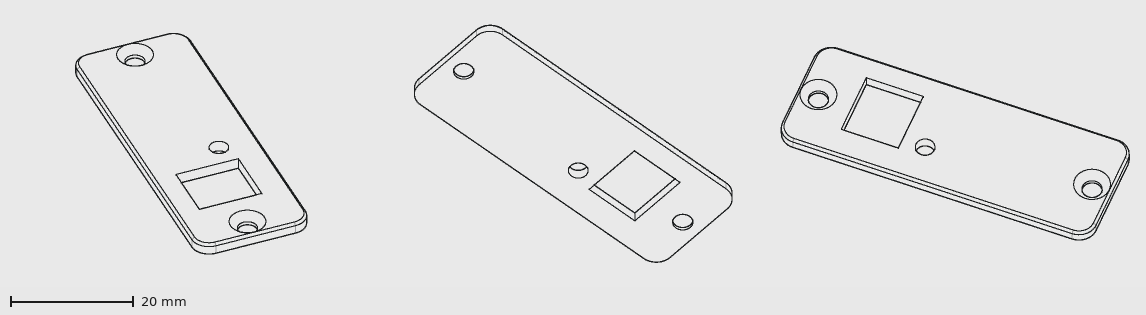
import cadquery as cq

length = 55.0
width = 20.0
thickness = 2.0
corner_radius = 3.0
top_chamfer = 0.45

screw_offset = 24.0
screw_diameter = 3.3
countersink_diameter = 6.0
countersink_angle = 90.0

small_hole_diameter = 3.2
small_hole_x = 4.0
small_hole_y = 3.225

window_length = 10.0
window_width = 11.0
window_x = 13.0
window_y = -0.5


def make_plate():
    """Rounded plate standing on Z = 0, chamfered around its top edge."""
    plate = cq.Workplane("XY").box(length, width, thickness, centered=(True, True, False))
    plate = plate.edges("|Z").fillet(corner_radius)
    return plate.faces(">Z").edges().chamfer(top_chamfer)


def top_plane(part):
    """Workplane on the top face, with its origin on the plate's centre."""
    return part.faces(">Z").workplane(origin=(0, 0, thickness))


def cut_screw_holes(part):
    centres = [(-screw_offset, 0), (screw_offset, 0)]
    return top_plane(part).pushPoints(centres).cskHole(
        screw_diameter, countersink_diameter, countersink_angle
    )


def cut_small_hole(part):
    return top_plane(part).center(small_hole_x, small_hole_y).hole(small_hole_diameter)


def cut_window(part):
    return top_plane(part).center(window_x, window_y).rect(window_length, window_width).cutThruAll()


result = make_plate()
result = cut_screw_holes(result)
result = cut_small_hole(result)
result = cut_window(result)